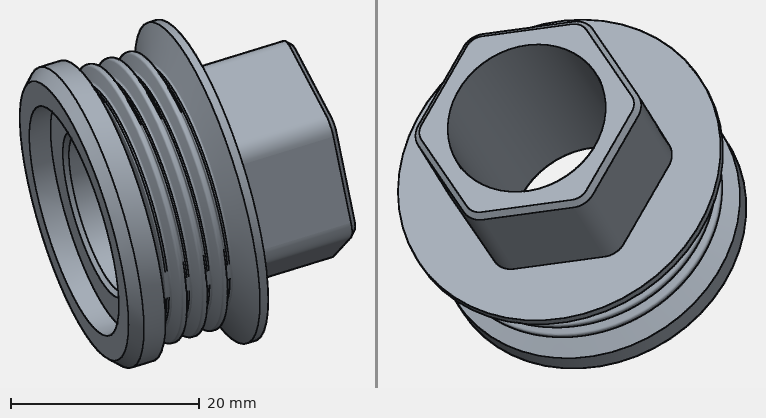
import cadquery as cq
import math

total_length = 27.3
flange_radius = 17.78

rim_radius = 16.65
rim_face_radius = 15.45
rim_chamfer_length = 1.28
rim_back = 3.75

flange_front = 14.05
flange_back = 15.0

groove_count = 4
groove_radius = 13.6
ridge_radius = 15.45
first_groove_center = 5.25
groove_pitch = 2.3
groove_floor_width = 0.65
ridge_crest_width = 0.57
groove_round = 0.3

bore_radius = 8.7
bore_chamfer = 0.5
recess_radius = 12.7
recess_depth = 2.42

across_flats = 22.2
hex_corner_radius = 2.45
hex_chamfer = 0.6


def revolve_about_y(points):
    """Revolve a closed outline of (radius, Y) points about the Y axis."""
    return cq.Workplane("XY").polyline(points).close().revolve(360, (0, 0, 0), (0, 1, 0))


def make_turned_body():
    """Revolve the half profile, given as (radius, Y) points."""
    points = [
        (0, 0),
        (rim_face_radius, 0),
        (rim_radius, rim_chamfer_length),
        (rim_radius, rim_back),
    ]
    for i in range(groove_count):
        center = first_groove_center + i * groove_pitch
        points.append((groove_radius, center - groove_floor_width / 2))
        points.append((groove_radius, center + groove_floor_width / 2))
        if i < groove_count - 1:
            crest = center + groove_pitch / 2
            points.append((ridge_radius, crest - ridge_crest_width / 2))
            points.append((ridge_radius, crest + ridge_crest_width / 2))
    points += [
        (flange_radius, flange_front),
        (flange_radius, flange_back),
        (0, flange_back),
    ]
    body = revolve_about_y(points)
    last_groove_center = first_groove_center + (groove_count - 1) * groove_pitch
    groove_zone = cq.selectors.BoxSelector(
        (-flange_radius, first_groove_center - groove_floor_width, -flange_radius),
        (flange_radius, last_groove_center + groove_floor_width, flange_radius),
    )
    return body.edges("%CIRCLE").edges(groove_zone).fillet(groove_round)


def make_hex_head():
    """Hexagon with corners on the X axis and rounded long edges."""
    across_corners = across_flats / math.cos(math.pi / 6)
    head_length = total_length - flange_back
    head_plane = cq.Workplane("XZ", origin=(0, flange_back, 0))
    head = head_plane.polygon(6, across_corners).extrude(-head_length)
    head = head.edges("|Y").fillet(hex_corner_radius)
    return head.faces(">Y").edges().chamfer(hex_chamfer)


def make_opening():
    """Front recess, bore mouth chamfer and through bore as one revolved cutter."""
    points = [
        (0, 0),
        (recess_radius, 0),
        (recess_radius, recess_depth),
        (bore_radius + bore_chamfer, recess_depth),
        (bore_radius, recess_depth + bore_chamfer),
        (bore_radius, total_length),
        (0, total_length),
    ]
    return revolve_about_y(points)


result = make_turned_body().union(make_hex_head()).cut(make_opening())